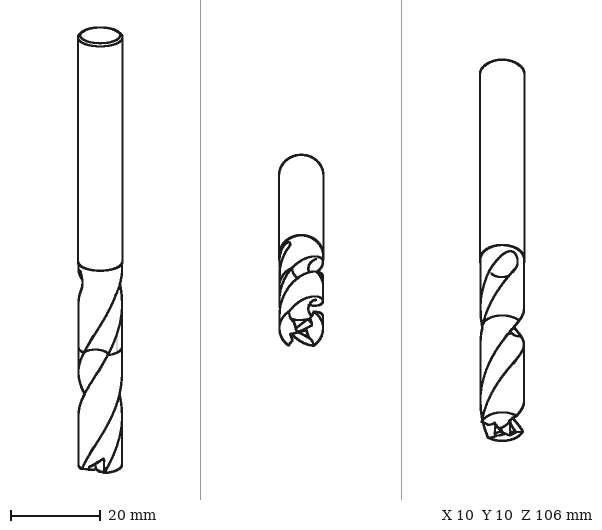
import cadquery as cq
import math

length = 106.0
radius = 5.0
fluted_radius = 4.9
fluted_length = 51.0
top_chamfer = 0.5
head_height = 30.3

point_angle = 140.0
point_height = fluted_radius / math.tan(math.radians(point_angle / 2))

flute_count = 2
flute_pitch = 54.3
flute_radius = 2.8
flute_offset = 4.3
flute_start_angle = -84.4
helix_end = 44.4

runout_height = 5.3
runout_outward = 2.4
runout_sideways = 3.7
runout_overrun = 1.4

gash_left_x = -1.1
gash_peak_x = 1.8
gash_right_x = 2.6
gash_peak_height = 4.0
gash_shoulder_height = 1.7
gash_tip_y = -0.1
gash_peak_y = -1.0


def drill_blank():
    """Stepped rod with a conical point and a chamfered top."""
    return (
        cq.Workplane("XZ")
        .moveTo(0, 0)
        .lineTo(fluted_radius, point_height)
        .lineTo(fluted_radius, fluted_length)
        .lineTo(radius, fluted_length)
        .lineTo(radius, length - top_chamfer)
        .lineTo(radius - top_chamfer, length)
        .lineTo(0, length)
        .close()
        .revolve(360, (0, 0, 0), (0, 1, 0))
    )


def helical_cutter():
    """Flute section turning counterclockwise as it rises from the tip."""
    return (
        cq.Workplane("XY")
        .moveTo(flute_offset, 0)
        .circle(flute_radius)
        .twistExtrude(helix_end, 360 * helix_end / flute_pitch)
    )


def runout_cutter():
    """Oblique cylinder that carries the flute out through the surface."""
    section = cq.Wire.makeCircle(flute_radius, cq.Vector(flute_offset, 0, helix_end), cq.Vector(0, 0, 1))
    direction = cq.Vector(runout_outward, runout_sideways, runout_height) * runout_overrun
    cutter = cq.Workplane(cq.Solid.extrudeLinear(section, [], direction))
    return cutter.rotate((0, 0, 0), (0, 0, 1), 360 * helix_end / flute_pitch)


def gash_cutter():
    """Peaked notch open toward -Y, ending at a wall that leans over the tip."""
    notch = (
        cq.Workplane("XZ")
        .moveTo(gash_left_x, 0)
        .lineTo(gash_left_x, gash_shoulder_height)
        .lineTo(gash_peak_x, gash_peak_height)
        .lineTo(gash_right_x, gash_shoulder_height)
        .lineTo(gash_right_x, 0)
        .close()
        .extrude(radius)
    )
    in_front_of_wall = (
        cq.Workplane("YZ", origin=(-radius, 0, 0))
        .moveTo(-radius, 0)
        .lineTo(gash_tip_y, 0)
        .lineTo(gash_peak_y, gash_peak_height)
        .lineTo(-radius, gash_peak_height)
        .close()
        .extrude(2 * radius)
    )
    return notch.intersect(in_front_of_wall)


drill = drill_blank()
for index in range(flute_count):
    flute_angle = flute_start_angle + index * 360 / flute_count
    for cutter in (helical_cutter(), runout_cutter()):
        drill = drill.cut(cutter.rotate((0, 0, 0), (0, 0, 1), flute_angle))
    gash_turn = index * 360 / flute_count
    drill = drill.cut(gash_cutter().rotate((0, 0, 0), (0, 0, 1), gash_turn))

head_zone = cq.Workplane("XY").circle(2 * radius).extrude(head_height)
cutting_head = drill.intersect(head_zone)
shank = drill.cut(head_zone)

result = cq.Compound.makeCompound([cutting_head.val(), shank.val()])